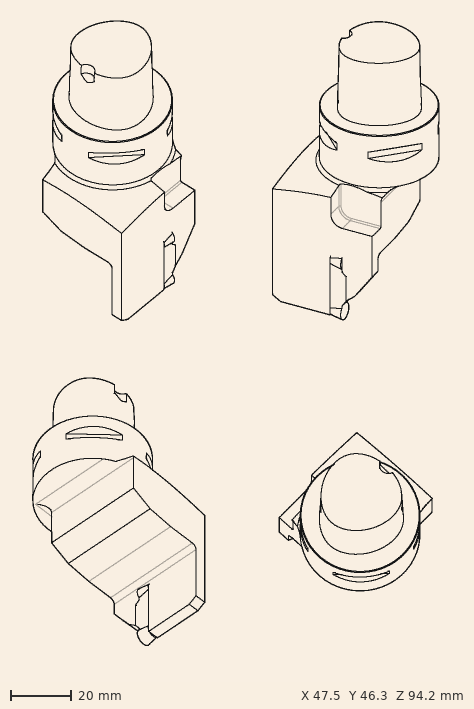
import cadquery as cq
import math

shank_height = 23.9
shank_radius = 14.0
shank_top_radius = 13.5
lobe_offset = 1.1
flange_radius = 20.0
flange_height = 20.3
flange_chamfer = 0.3

notch_radius = 3.0
notch_depth = 4.05
notch_axis_y = -13.7
drill_tip_height = 2.2

groove_count = 4
groove_center_z = -7.8
groove_floor_width = 2.45
groove_mouth_width = 5.3
groove_floor_distance = 17.6

arm_left = -8.1
arm_right = 26.6
arm_front = -26.3
arm_back = 11.2
arm_bottom = -43.3
arm_left_bottom = -38.35
arm_knee_z = -42.2
arm_flat_start_x = 10.0
flare_radius = 3.8
shoulder_radius = 21.1
shoulder_z = -21.5
shoulder_slope = math.tan(math.radians(15))
envelope_radius = 42.4

blade_thickness = 4.2
blade_left = arm_right - blade_thickness
blade_bottom = -68.9
blade_fillet = 1.8
blade_corner_y = 3.1
blade_corner_z = 1.9
jaw_corner_z = -49.7
jaw_knee = (4.5, -59.2)
jaw_tip = (1.3, -62.0)

relief_left = 20.3
relief_front = -4.3
relief_floor = -33.9
relief_fillet = 0.6

insert_face = -0.2
insert_back = -4.6
insert_length = insert_face - insert_back
insert_x = blade_left + blade_thickness / 2
head_radius = 3.0
head_rear_radius = 2.4
lower_head_z = shank_height - 94.2 + head_radius
upper_head_z = -47.8
land_start = (insert_face, -50.9)
land_top = (jaw_tip[0], -52.3)
land_end_z = -64.3


def lobed_section(plane_z, radius):
    """Closed three-lobed curve with one lobe pointing along +Y."""
    def point(t):
        angle = 2 * math.pi * t
        along = (radius * math.cos(angle) - lobe_offset * math.cos(2 * angle)
                 + lobe_offset / 2 * math.cos(4 * angle))
        across = (radius * math.sin(angle) + lobe_offset * math.sin(2 * angle)
                  + lobe_offset / 2 * math.sin(4 * angle))
        return cq.Vector(across, -along, plane_z)

    curve_points = 36
    points = [point(i / curve_points) for i in range(curve_points)]
    return cq.Wire.assembleEdges([cq.Edge.makeSpline(points, periodic=True)])


def make_shank():
    sections = [lobed_section(0, shank_radius), lobed_section(shank_height, shank_top_radius)]
    shank = cq.Workplane(cq.Solid.makeLoft(sections, True))
    drill_end = shank_height - notch_depth
    drill = (
        cq.Workplane("XZ")
        .moveTo(0, drill_end - drill_tip_height)
        .lineTo(notch_radius, drill_end)
        .lineTo(notch_radius, shank_height)
        .lineTo(0, shank_height)
        .close()
        .revolve(360, (0, 0, 0), (0, 1, 0))
        .translate((0, notch_axis_y, 0))
    )
    return shank.cut(drill)


def make_flange():
    flange = cq.Workplane("XY").circle(flange_radius).extrude(-flange_height)
    flange = flange.faces(">Z").edges().chamfer(flange_chamfer)
    groove = (
        cq.Workplane("XZ")
        .moveTo(groove_floor_distance, groove_center_z - groove_floor_width / 2)
        .lineTo(flange_radius, groove_center_z - groove_mouth_width / 2)
        .lineTo(flange_radius, groove_center_z + groove_mouth_width / 2)
        .lineTo(groove_floor_distance, groove_center_z + groove_floor_width / 2)
        .close()
        .extrude(flange_radius, both=True)
    )
    step = 360 / groove_count
    for i in range(groove_count):
        flange = flange.cut(groove.rotate((0, 0, 0), (0, 0, 1), step * (i + 0.5)))
    return flange


def flare_midpoint(edge, outward):
    """Middle of the concave quarter arc blending an arm side into the flange."""
    reach = flare_radius * (1 - math.sqrt(0.5))
    return (edge + outward * reach, -flange_height - reach)


def make_arm():
    flare_bottom = -flange_height - flare_radius
    across_x = (
        cq.Workplane("XZ")
        .moveTo(arm_left - flare_radius, -flange_height)
        .threePointArc(flare_midpoint(arm_left, -1), (arm_left, flare_bottom))
        .lineTo(arm_left, arm_left_bottom)
        .lineTo(0, arm_knee_z)
        .lineTo(arm_flat_start_x, arm_bottom)
        .lineTo(blade_left - blade_fillet, arm_bottom)
        .radiusArc((blade_left, arm_bottom - blade_fillet), blade_fillet)
        .lineTo(blade_left, blade_bottom)
        .lineTo(arm_right, blade_bottom)
        .lineTo(arm_right, -flange_height)
        .close()
        .extrude(envelope_radius, both=True)
    )
    across_y = (
        cq.Workplane("YZ")
        .moveTo(arm_back + flare_radius, -flange_height)
        .threePointArc(flare_midpoint(arm_back, 1), (arm_back, flare_bottom))
        .lineTo(arm_back, jaw_corner_z)
        .lineTo(*jaw_knee)
        .lineTo(*jaw_tip)
        .lineTo(insert_face, land_end_z)
        .lineTo(insert_back, blade_bottom)
        .lineTo(arm_front + blade_corner_y, blade_bottom)
        .lineTo(arm_front, blade_bottom + blade_corner_z)
        .lineTo(arm_front, -flange_height)
        .close()
        .extrude(envelope_radius, both=True)
    )
    rim_z = shoulder_z - (envelope_radius - shoulder_radius) * shoulder_slope
    shoulder = (
        cq.Workplane("XZ")
        .moveTo(0, -flange_height)
        .lineTo(flange_radius, -flange_height)
        .lineTo(shoulder_radius, shoulder_z)
        .lineTo(envelope_radius, rim_z)
        .lineTo(envelope_radius, blade_bottom)
        .lineTo(0, blade_bottom)
        .close()
        .revolve(360, (0, 0, 0), (0, 1, 0))
    )
    return across_x.intersect(across_y).intersect(shoulder)


def make_relief():
    """Corner cut-out whose front wall runs into the floor with a full fillet."""
    fillet = -relief_front
    relief = (
        cq.Workplane("YZ", origin=(relief_left, 0, 0))
        .moveTo(relief_front, -flange_height)
        .lineTo(relief_front, relief_floor + fillet)
        .radiusArc((0, relief_floor), -fillet)
        .lineTo(envelope_radius, relief_floor)
        .lineTo(envelope_radius, -flange_height)
        .close()
        .extrude(envelope_radius)
    )
    return relief.faces("<X").edges("not(>Z or >Y)").fillet(relief_fillet)


def make_insert():
    insert = (
        cq.Workplane("YZ", origin=(blade_left, 0, 0))
        .moveTo(insert_back, upper_head_z)
        .lineTo(insert_face, upper_head_z)
        .lineTo(*land_start)
        .lineTo(*land_top)
        .lineTo(*jaw_tip)
        .lineTo(insert_face, land_end_z)
        .lineTo(insert_face, lower_head_z)
        .lineTo(insert_back, lower_head_z)
        .close()
        .extrude(blade_thickness)
    )
    for head_z in (upper_head_z, lower_head_z):
        head = cq.Solid.makeCone(
            head_radius, head_rear_radius, insert_length,
            cq.Vector(insert_x, insert_face, head_z), cq.Vector(0, -1, 0),
        )
        insert = insert.union(cq.Workplane(head))
    return insert


def make_insert_seat():
    """Open space for the insert at the tip of the blade, below the lower head centre."""
    return cq.Workplane("XY").box(
        blade_thickness, insert_length, lower_head_z - blade_bottom, centered=False
    ).translate((blade_left, insert_back, blade_bottom))


insert = make_insert()
arm = make_arm().cut(make_relief())
holder = make_flange().union(make_shank()).union(arm)
holder = holder.cut(insert).cut(make_insert_seat())

result = cq.Compound.makeCompound([holder.solids().val(), insert.solids().val()])